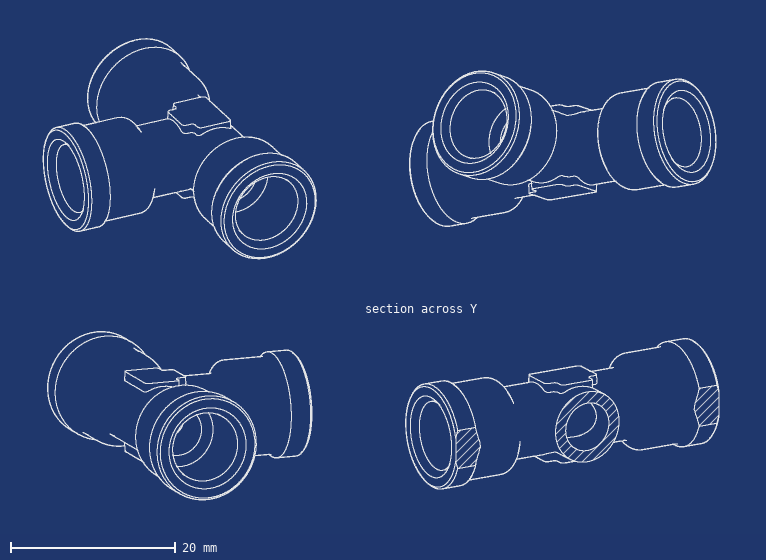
import cadquery as cq
import math

arm_length = 18.5

collar_radius = 13.0 / 2
collar_width = 2.8
collar_chamfer = 0.3
socket_radius = 12.0 / 2
tube_radius = 9.0 / 2
socket_length = 8.5
blend_radius = 1.0
shoulder_angle = math.radians(59)

mouth_radius = 10.1 / 2
bore_radius = 8.5 / 2
passage_radius = 6.0 / 2
mouth_depth = 0.8
bore_depth = 9.0
bore_end_taper = 0.63

pad_half_width = 3.65
pad_half_depth = 2.22
tongue_half_width = 2.22
tongue_reach = 3.65
pad_height = 5.0
pad_thickness = 1.65
pad_draft = 3
pad_corner_radius = 0.45

junction_fillet = 0.5
seam_tolerance = 0.005


def blend_point(angle, start, center_radius, side):
    """Point on a turned blend, measured by angle from its cylinder end."""
    along = start + blend_radius * math.sin(angle)
    radius = center_radius + side * blend_radius * math.cos(angle)
    return (radius, along)


def arm_outside():
    """Solid arm of revolution along +Z, mouth at arm_length."""
    root_center = socket_radius + blend_radius
    root_angle = math.acos((root_center - collar_radius) / blend_radius)
    collar_start = arm_length - collar_width
    root_start = collar_start - blend_radius * math.sin(root_angle)

    socket_start = arm_length - socket_length
    blend_run = blend_radius * math.sin(shoulder_angle)
    blend_drop = blend_radius * (1 - math.cos(shoulder_angle))
    cone_drop = socket_radius - tube_radius - 2 * blend_drop
    cone_run = cone_drop / math.tan(shoulder_angle)
    tube_end = socket_start - 2 * blend_run - cone_run

    convex_center = socket_radius - blend_radius
    concave_center = tube_radius + blend_radius
    half = shoulder_angle / 2

    profile = (
        cq.Workplane("XZ")
        .lineTo(tube_radius, 0)
        .lineTo(tube_radius, tube_end)
        .threePointArc(
            blend_point(half, tube_end, concave_center, -1),
            blend_point(shoulder_angle, tube_end, concave_center, -1),
        )
        .lineTo(*blend_point(-shoulder_angle, socket_start, convex_center, 1))
        .threePointArc(
            blend_point(-half, socket_start, convex_center, 1),
            (socket_radius, socket_start),
        )
        .lineTo(socket_radius, root_start)
        .threePointArc(
            blend_point(root_angle / 2, root_start, root_center, -1),
            (collar_radius, collar_start),
        )
        .lineTo(collar_radius, arm_length - collar_chamfer)
        .lineTo(collar_radius - collar_chamfer, arm_length)
        .lineTo(0, arm_length)
        .close()
    )
    return profile.revolve(360, (0, 0, 0), (0, 1, 0))


def arm_inside():
    """Stepped bore of one arm along +Z, with a tapered mouth and bore end."""
    bore_end = arm_length - bore_depth
    profile = (
        cq.Workplane("XZ")
        .lineTo(passage_radius, 0)
        .lineTo(passage_radius, bore_end - bore_end_taper)
        .lineTo(bore_radius, bore_end)
        .lineTo(bore_radius, arm_length - mouth_depth)
        .lineTo(mouth_radius, arm_length)
        .lineTo(0, arm_length)
        .close()
    )
    return profile.revolve(360, (0, 0, 0), (0, 1, 0))


def place_on_arms(shape):
    """Copy a +Z shape onto the -X, +X and -Y arms and join the copies."""
    left = shape.rotate((0, 0, 0), (0, 1, 0), -90)
    right = left.rotate((0, 0, 0), (0, 0, 1), 180)
    branch = shape.rotate((0, 0, 0), (1, 0, 0), 90)
    return left.union(right).union(branch)


def marking_pad():
    """Upper T-shaped pad, drafted so that it widens towards the tubes."""
    tongue_length = tongue_reach + pad_half_depth
    tongue_center = (pad_half_depth - tongue_reach) / 2
    outline = (
        cq.Sketch()
        .rect(2 * pad_half_width, 2 * pad_half_depth)
        .push([(0, tongue_center)])
        .rect(2 * tongue_half_width, tongue_length)
        .reset()
        .clean()
        .vertices()
        .fillet(pad_corner_radius)
    )
    face_plane = cq.Workplane("XY").workplane(offset=pad_height)
    return face_plane.placeSketch(outline).extrude(-pad_thickness, taper=-pad_draft)


def fillet_junction(body):
    """Round the two inner corners where the branch tube meets the run."""
    seams = [
        edge
        for edge in body.edges("%ELLIPSE").vals()
        if abs(abs(edge.Center().x) + edge.Center().y) < seam_tolerance
    ]
    return body.newObject(seams).fillet(junction_fillet)


upper_pad = marking_pad()
lower_pad = upper_pad.mirror("XY")
body = place_on_arms(arm_outside()).union(upper_pad).union(lower_pad)
body = fillet_junction(body)
result = body.cut(place_on_arms(arm_inside()))